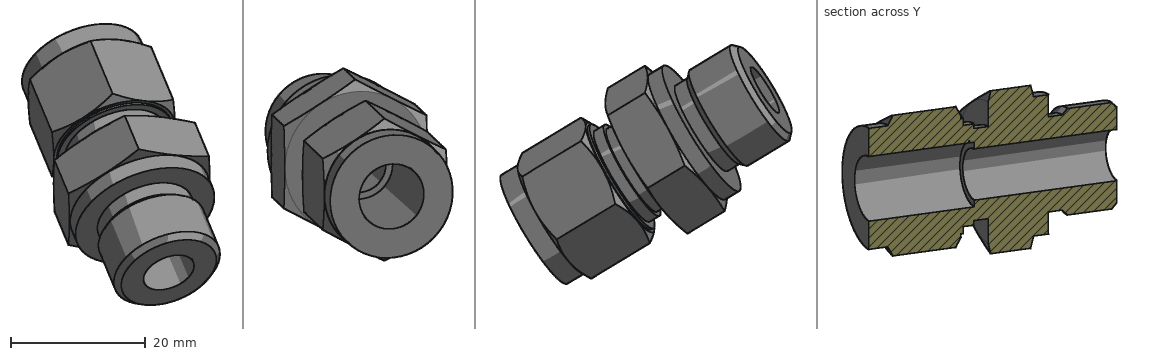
import cadquery as cq
import math

length = 40.6

nut_flange_end = 3.1
nut_hex_end = 15.1
nut_rim_end = 15.45
body_collar_end = 17.2
body_neck_end = 19.5
body_hex_end = 26.95
sealing_collar_end = 29.45
undercut_end = 31.63

nut_flange_diameter = 18.9
nut_rim_diameter = 18.03
body_collar_diameter = 15.85
body_neck_diameter = 14.4
sealing_collar_diameter = 21.75
undercut_diameter = 14.9
thread_diameter = 16.65
thread_chamfer = (thread_diameter - undercut_diameter) / 2

nut_across_flats = 19.0
nut_chamfer_angle = 30.0
body_across_flats = 22.0
body_chamfer_angle = 15.0

bore_diameter = 7.9
tube_socket_diameter = 10.0
tube_socket_depth = body_collar_end


def cylinder(start, end, diameter):
    """Solid cylinder along X between two stations."""
    return cq.Workplane("YZ", origin=(start, 0, 0)).circle(diameter / 2).extrude(end - start)


def chamfered_hexagon(start, end, across_flats, chamfer_angle):
    """Hexagonal prism along X whose corners are turned off by a cone at each end.

    Each cone meets its end face in the circle inscribed in the hexagon.
    """
    inner_radius = across_flats / 2
    corner_radius = inner_radius / math.cos(math.radians(30))
    chamfer_length = (corner_radius - inner_radius) * math.tan(math.radians(chamfer_angle))

    prism = (
        cq.Workplane("YZ", origin=(start, 0, 0))
        .polygon(6, 2 * corner_radius)
        .extrude(end - start)
        .rotate((0, 0, 0), (1, 0, 0), 90)
    )
    turned_blank = (
        cq.Workplane("XY")
        .moveTo(start, 0)
        .lineTo(start, inner_radius)
        .lineTo(start + chamfer_length, corner_radius)
        .lineTo(end - chamfer_length, corner_radius)
        .lineTo(end, inner_radius)
        .lineTo(end, 0)
        .close()
        .revolve(360, (0, 0, 0), (1, 0, 0))
    )
    return prism.intersect(turned_blank)


nut = cylinder(0, nut_flange_end, nut_flange_diameter)
nut = nut.union(chamfered_hexagon(nut_flange_end, nut_hex_end, nut_across_flats, nut_chamfer_angle))
nut = nut.union(cylinder(nut_hex_end, nut_rim_end, nut_rim_diameter))

body = cylinder(nut_rim_end, body_collar_end, body_collar_diameter)
body = body.union(cylinder(body_collar_end, body_neck_end, body_neck_diameter))
body = body.union(
    chamfered_hexagon(body_neck_end, body_hex_end, body_across_flats, body_chamfer_angle)
)
body = body.union(cylinder(body_hex_end, sealing_collar_end, sealing_collar_diameter))
body = body.union(cylinder(sealing_collar_end, undercut_end, undercut_diameter))

threaded_end = cylinder(undercut_end, length, thread_diameter).edges("%CIRCLE").chamfer(thread_chamfer)

bore = cylinder(0, length, bore_diameter).union(cylinder(0, tube_socket_depth, tube_socket_diameter))

result = nut.union(body).union(threaded_end).cut(bore)